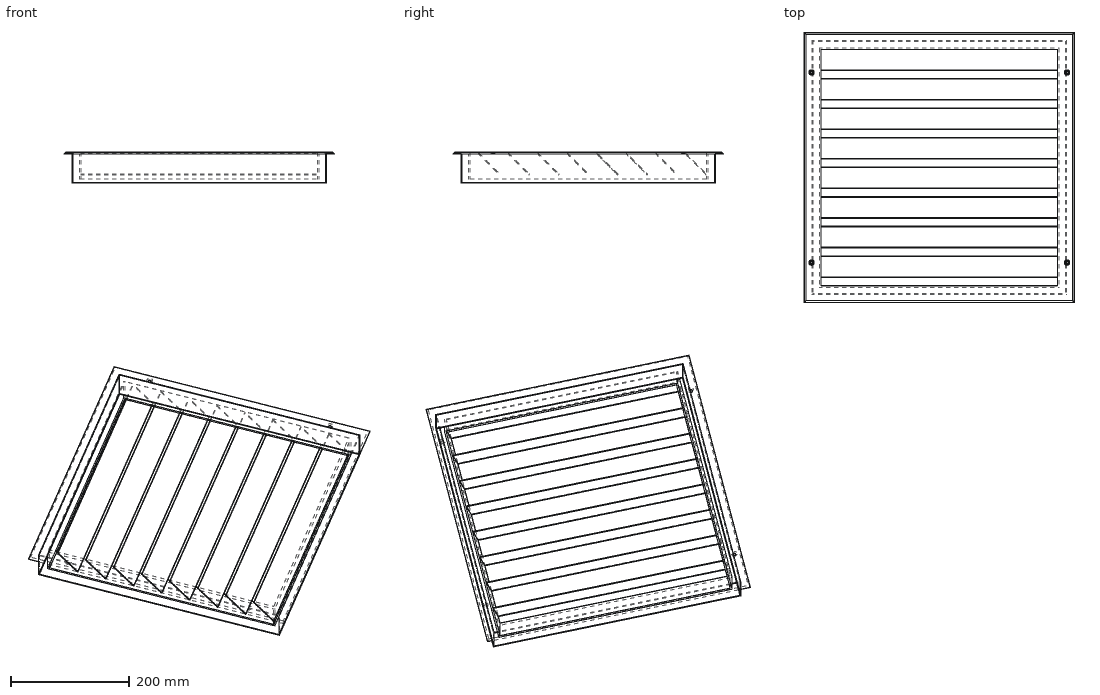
import cadquery as cq
total_height = 52.0

outer_size = 457.0
opening_size = 400.0
bezel_thickness = 3.0
bevel_angle = 45.0

screw_spacing_x = 432.5
screw_spacing_y = 321.5
screw_hole_diameter = 4.5
screw_head_diameter = 9.0
countersink_angle = 90.0

collar_depth = 45.5
collar_thickness = 2.7

slat_count = 8
slat_pitch = opening_size / slat_count
slat_width = 50.3
slat_thickness = 1.5
slat_tilt = -45.0
slat_center_z = 32.0
slat_row_shift = 7.5

frame_size = 430.0
frame_thickness = 1.5
frame_height = total_height - bezel_thickness


def make_square_ring(outside, inside, bottom, height):
    """Upright square ring, centred on the Z axis."""
    return (
        cq.Workplane("XY")
        .workplane(offset=bottom)
        .rect(outside, outside)
        .rect(inside, inside)
        .extrude(height)
    )


def make_bezel():
    """Flat rim with a bevelled edge and four countersunk holes."""
    plate = (
        cq.Workplane("XY")
        .workplane(offset=frame_height)
        .rect(outer_size, outer_size)
        .extrude(bezel_thickness, taper=bevel_angle)
    )
    opening = cq.Workplane("XY").rect(opening_size, opening_size).extrude(total_height)
    return (
        plate.cut(opening)
        .faces(">Z")
        .workplane(origin=(0, 0, total_height))
        .rect(screw_spacing_x, screw_spacing_y, forConstruction=True)
        .vertices()
        .cskHole(screw_hole_diameter, screw_head_diameter, countersink_angle, bezel_thickness)
    )


def make_collar():
    """Square wall flush with the opening of the bezel."""
    return make_square_ring(
        opening_size + 2 * collar_thickness, opening_size, total_height - collar_depth, collar_depth
    )


def make_slat(center_y):
    """One tilted blade reaching across the opening along X."""
    return (
        cq.Workplane("XY")
        .box(opening_size, slat_width, slat_thickness)
        .rotate((0, 0, 0), (1, 0, 0), slat_tilt)
        .translate((0, center_y, slat_center_z))
    )


def make_grille():
    """Bezel, collar and slats in one piece."""
    grille = make_bezel().union(make_collar())
    for index in range(slat_count):
        center_y = (index - (slat_count - 1) / 2) * slat_pitch + slat_row_shift
        grille = grille.union(make_slat(center_y))
    return grille.clean()


def make_mounting_frame():
    """Plain square wall that carries the bezel."""
    return make_square_ring(frame_size, frame_size - 2 * frame_thickness, 0, frame_height)


grille = make_grille()
mounting_frame = make_mounting_frame()

result = cq.Compound.makeCompound([grille.solids().val(), mounting_frame.val()])